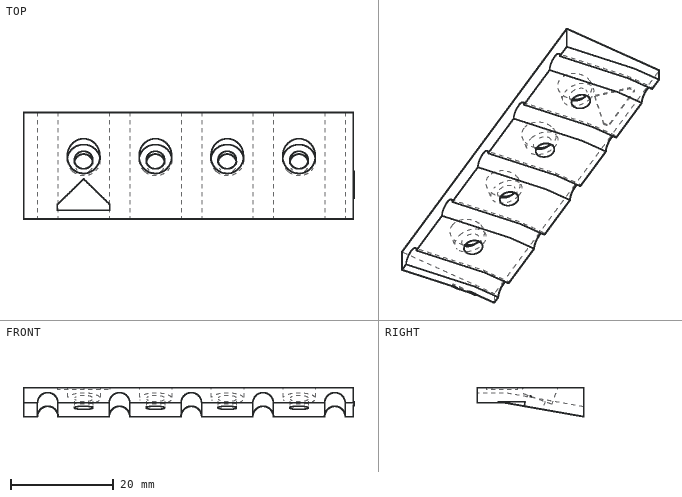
import cadquery as cq
import math

overall_length = 64.6
pad_thickness = 0.2
plate_length = overall_length - pad_thickness
depth = 20.8
front_height = 3.0
back_height = 5.7
slope_start = 5.4
slope_angle = math.degrees(math.atan2(back_height - front_height, depth - slope_start))

groove_count = 5
pitch = 14.0
first_groove_x = 4.7
groove_radius = 2.0
first_hole_x = first_groove_x + pitch / 2
hole_count = groove_count - 1

hole_y = 12.3
hole_tilt = 20.0
hole_diameter = 3.6
counterbore_diameter = 6.4
counterbore_depth = 2.2
overrun = 12.9

arrow_base_y = 1.75
arrow_shoulder_y = 2.85
arrow_tip_y = 7.8
arrow_half_width = 5.1
arrow_depth = 0.3

pad_front_y = 4.1
pad_width = 5.25
pad_top_z = -2.8
pad_height = 0.7


def make_plate(length):
    """Flat-topped plate whose underside slopes down toward the back."""
    profile = [
        (0, 0),
        (depth, 0),
        (depth, -back_height),
        (slope_start, -front_height),
        (0, -front_height),
    ]
    return cq.Workplane("YZ").polyline(profile).close().extrude(length)


def make_groove(x):
    """Round cutter that follows the flat and then the sloping underside."""
    bend = cq.Vector(x, slope_start, -front_height)
    slope = math.radians(slope_angle)
    down_slope = cq.Vector(0, math.cos(slope), -math.sin(slope))
    flat_part = cq.Solid.makeCylinder(groove_radius, overrun, bend, cq.Vector(0, -1, 0))
    sloped_part = cq.Solid.makeCylinder(groove_radius, depth, bend, down_slope)
    joint = cq.Workplane("XY").sphere(groove_radius).translate(bend)
    return joint.union(cq.Workplane(flat_part)).union(cq.Workplane(sloped_part))


def make_screw_hole(x):
    """Counterbored cutter tilted so that it runs forward as it goes down."""
    bore = cq.Workplane("XY").circle(hole_diameter / 2).extrude(-overrun)
    counterbore = (
        cq.Workplane("XY")
        .workplane(offset=-counterbore_depth)
        .circle(counterbore_diameter / 2)
        .extrude(overrun)
    )
    cutter = bore.union(counterbore).rotate((0, 0, 0), (1, 0, 0), -hole_tilt)
    return cutter.translate((x, hole_y, 0))


def make_arrow():
    """Shallow arrowhead pointing at the first screw hole."""
    outline = [
        (first_hole_x - arrow_half_width, arrow_base_y),
        (first_hole_x + arrow_half_width, arrow_base_y),
        (first_hole_x + arrow_half_width, arrow_shoulder_y),
        (first_hole_x, arrow_tip_y),
        (first_hole_x - arrow_half_width, arrow_shoulder_y),
    ]
    return cq.Workplane("XY").polyline(outline).close().extrude(-arrow_depth)


def make_pad():
    """Thin raised strip on the right end face, trimmed to the sloping underside."""
    pad = cq.Workplane("XY").box(pad_thickness, pad_width, pad_height, centered=False)
    pad = pad.translate((plate_length, pad_front_y, pad_top_z - pad_height))
    return pad.intersect(make_plate(overall_length))


result = make_plate(plate_length)
for index in range(groove_count):
    result = result.cut(make_groove(first_groove_x + index * pitch))
for index in range(hole_count):
    result = result.cut(make_screw_hole(first_hole_x + index * pitch))
result = result.cut(make_arrow()).union(make_pad())